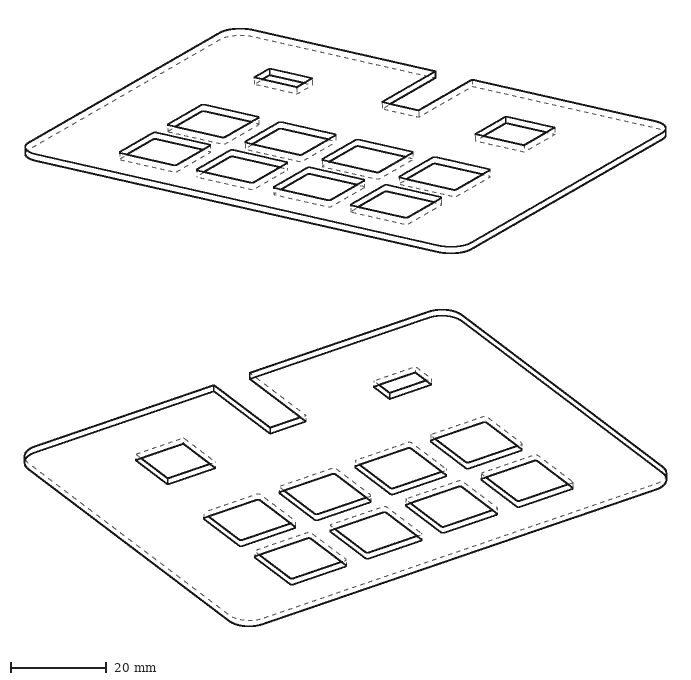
import cadquery as cq

plate_length = 109.0
plate_width = 85.0
plate_thickness = 1.5
plate_corner_radius = 5.0

key_columns = 4
key_rows = 2
key_pitch = 19.0
key_size = 14.0
key_corner_radius = 0.5
key_grid_center_y = -16.0

slot_width = 9.0
slot_depth = 21.0

small_window_length = 10.5
small_window_width = 6.0
small_window_center = (-29.4, 22.4)

square_window_size = 12.0
square_window_center = (27.85, 22.15)


def block(length, width, center):
    """Sharp-cornered rectangular block of the plate thickness."""
    center_x, center_y = center
    return cq.Workplane("XY").center(center_x, center_y).rect(length, width).extrude(plate_thickness)


def make_plate():
    """Flat plate with rounded corners."""
    plate = block(plate_length, plate_width, (0, 0))
    return plate.edges("|Z").fillet(plate_corner_radius)


def cut_key_grid(body):
    """Rows and columns of round-cornered square key openings."""
    for row in range(key_rows):
        for column in range(key_columns):
            center_x = (column - (key_columns - 1) / 2) * key_pitch
            center_y = key_grid_center_y + (row - (key_rows - 1) / 2) * key_pitch
            key = block(key_size, key_size, (center_x, center_y))
            body = body.cut(key.edges("|Z").fillet(key_corner_radius))
    return body


def cut_edge_slot(body):
    """Slot running in from the +Y edge."""
    slot_center_y = (plate_width - slot_depth) / 2
    return body.cut(block(slot_width, slot_depth, (0, slot_center_y)))


def cut_windows(body):
    """The two windows on either side of the slot."""
    body = body.cut(block(small_window_length, small_window_width, small_window_center))
    return body.cut(block(square_window_size, square_window_size, square_window_center))


result = make_plate()
result = cut_key_grid(result)
result = cut_edge_slot(result)
result = cut_windows(result)